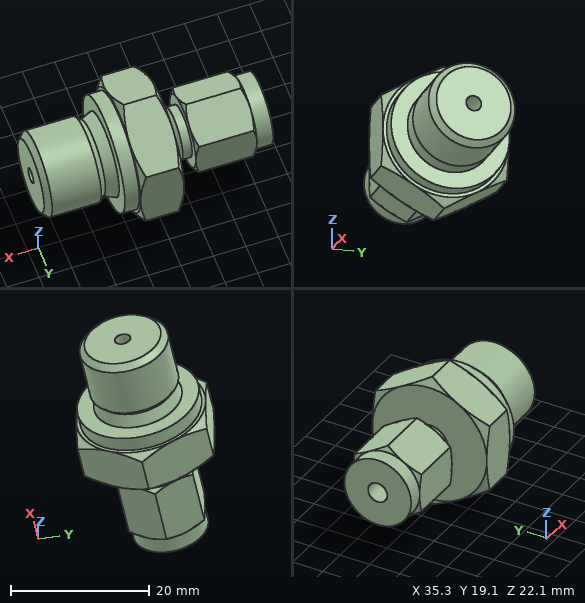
import cadquery as cq
import math

nut_hex_start = 2.5
nut_end = 11.93
neck_taper_start = 13.35
neck_taper_end = 14.15
body_hex_start = 15.15
body_hex_end = 21.85
flange_end = 24.07
relief_end = 25.9
relief_chamfer = 0.92
total_length = 35.3
end_chamfer = 0.92

nut_flats = 11.15
body_flats = 19.1
neck_diameter = 7.98
neck_groove_diameter = 6.3
flange_diameter = 18.0
relief_start_diameter = 13.05
relief_end_diameter = 11.5
thread_diameter = 13.13
end_diameter = thread_diameter - 2 * end_chamfer

tube_bore_diameter = 3.18
tube_bore_depth = nut_end
through_bore_diameter = 2.3

hex_half_angle = math.radians(30)
hex_chamfer_angle = math.radians(30)


def revolve_profile(points):
    """Revolve (x, radius) points about the X axis into a solid."""
    return cq.Workplane("XY").polyline(points).close().revolve(360, (0, 0, 0), (1, 0, 0))


def chamfered_hex(x_start, x_end, flats):
    """Hexagon along X with corners up and down, and conical corner chamfers on both ends."""
    corner_diameter = flats / math.cos(hex_half_angle)
    prism = (
        cq.Workplane("YZ", origin=(x_start, 0, 0))
        .transformed(rotate=(0, 0, 90))
        .polygon(6, corner_diameter)
        .extrude(x_end - x_start)
    )
    face_radius = flats / 2
    corner_radius = corner_diameter / 2
    chamfer_length = (corner_radius - face_radius) * math.tan(hex_chamfer_angle)
    envelope = revolve_profile([
        (x_start, 0),
        (x_start, face_radius),
        (x_start + chamfer_length, corner_radius),
        (x_end - chamfer_length, corner_radius),
        (x_end, face_radius),
        (x_end, 0),
    ])
    return prism.intersect(envelope)


def bore(diameter, depth):
    """Cylinder along X that starts at the tube entry face."""
    return cq.Workplane("YZ").circle(diameter / 2).extrude(depth)


turned_core = revolve_profile([
    (0, 0),
    (0, nut_flats / 2),
    (nut_hex_start, nut_flats / 2),
    (nut_hex_start, neck_diameter / 2),
    (neck_taper_start, neck_diameter / 2),
    (neck_taper_end, neck_groove_diameter / 2),
    (body_hex_end, neck_groove_diameter / 2),
    (body_hex_end, flange_diameter / 2),
    (flange_end, flange_diameter / 2),
    (flange_end, relief_start_diameter / 2),
    (relief_end, relief_end_diameter / 2),
    (relief_end + relief_chamfer, thread_diameter / 2),
    (total_length - end_chamfer, thread_diameter / 2),
    (total_length, end_diameter / 2),
    (total_length, 0),
])

nut_hex = chamfered_hex(nut_hex_start, nut_end, nut_flats)
body_hex = chamfered_hex(body_hex_start, body_hex_end, body_flats)

result = (
    turned_core.union(nut_hex)
    .union(body_hex)
    .cut(bore(tube_bore_diameter, tube_bore_depth))
    .cut(bore(through_bore_diameter, total_length))
)